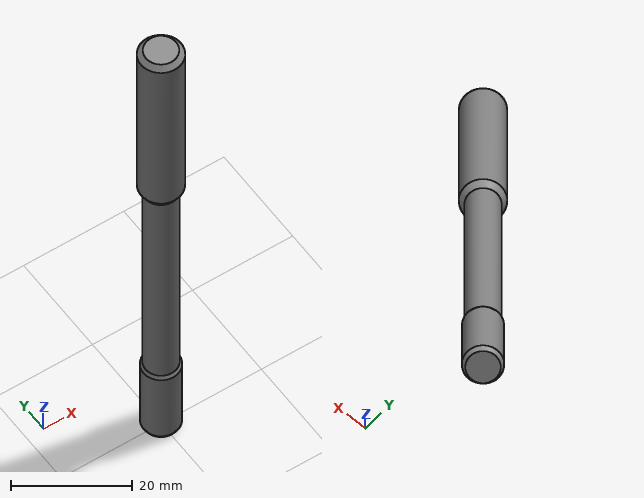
import cadquery as cq
import math

total_length = 100.0
shank_diameter = 8.0
neck_diameter = 6.2
head_diameter = 7.0

shank_length = 36.0
head_start = 84.0

shank_chamfer = 1.0
tip_chamfer_height = 1.0
cone_half_angle = math.radians(30)

shank_radius = shank_diameter / 2
neck_radius = neck_diameter / 2
head_radius = head_diameter / 2
top_face_radius = shank_radius - shank_chamfer
tip_face_radius = head_radius - tip_chamfer_height * math.tan(cone_half_angle)

shank_bottom = total_length - shank_length
neck_top = shank_bottom - (shank_radius - neck_radius) / math.tan(cone_half_angle)
head_top = total_length - head_start
neck_bottom = head_top + (head_radius - neck_radius) / math.tan(cone_half_angle)


def turned_profile():
    """Half section of the pin in the YZ plane, from the tip up to the top face."""
    return (
        cq.Workplane("YZ")
        .moveTo(0, 0)
        .lineTo(-tip_face_radius, 0)
        .lineTo(-head_radius, tip_chamfer_height)
        .lineTo(-head_radius, head_top)
        .lineTo(-neck_radius, neck_bottom)
        .lineTo(-neck_radius, neck_top)
        .lineTo(-shank_radius, shank_bottom)
        .lineTo(-shank_radius, total_length - shank_chamfer)
        .lineTo(-top_face_radius, total_length)
        .lineTo(0, total_length)
        .close()
    )


result = turned_profile().revolve(360, (0, 0, 0), (0, 1, 0))